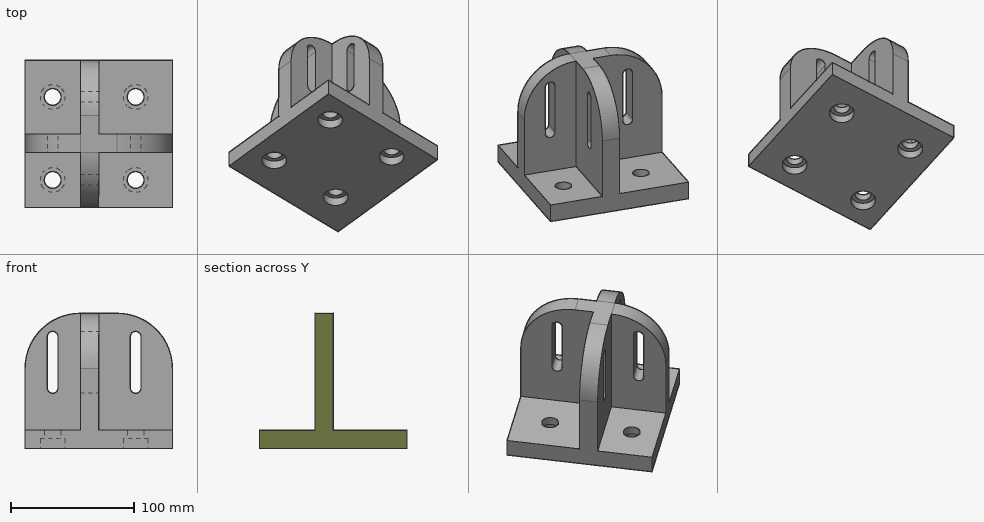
import cadquery as cq

base_side = 120.0
base_thickness = 15.0

total_height = 110.0
fin_thickness = 15.0
corner_radius = 45.0

near_offset = 22.5
far_offset = 90.0
hole_diameter = 13.5
counterbore_diameter = 20.0
counterbore_depth = 8.0

slot_width = 8.5
slot_bottom = 45.0
slot_top = 95.2

near_center = near_offset - base_side / 2
far_center = far_offset - base_side / 2
centers = [near_center, far_center]


def make_base():
    """Base plate with four holes, counterbored from the underside."""
    plate = cq.Workplane("XY").box(base_side, base_side, base_thickness, centered=(True, True, False))
    hole_points = [(x, y) for x in centers for y in centers]
    holes = cq.Workplane("XY").pushPoints(hole_points).circle(hole_diameter / 2).extrude(base_thickness)
    counterbores = (
        cq.Workplane("XY").pushPoints(hole_points).circle(counterbore_diameter / 2).extrude(counterbore_depth)
    )
    return plate.cut(holes).cut(counterbores)


def make_fin():
    """Upright plate along X, with rounded top corners, filling -fin_thickness < Y < 0."""
    return (
        cq.Workplane("XY")
        .box(base_side, fin_thickness, total_height, centered=(True, False, False))
        .translate((0, -fin_thickness, 0))
        .edges("|Y and >Z")
        .fillet(corner_radius)
        .intersect(
            cq.Workplane("XY")
            .workplane(offset=base_thickness)
            .box(base_side, base_side, total_height, centered=(True, True, False))
        )
    )


def make_slots():
    """Cutters for the two vertical slots through the plate along X."""
    return (
        cq.Workplane("XZ")
        .pushPoints([(x, (slot_bottom + slot_top) / 2) for x in centers])
        .slot2D(slot_top - slot_bottom, slot_width, 90)
        .extrude(fin_thickness)
    )


fin_along_x = make_fin().cut(make_slots())
fin_along_y = fin_along_x.mirror("XZ").rotate((0, 0, 0), (0, 0, 1), 90)

result = make_base().union(fin_along_x).union(fin_along_y)